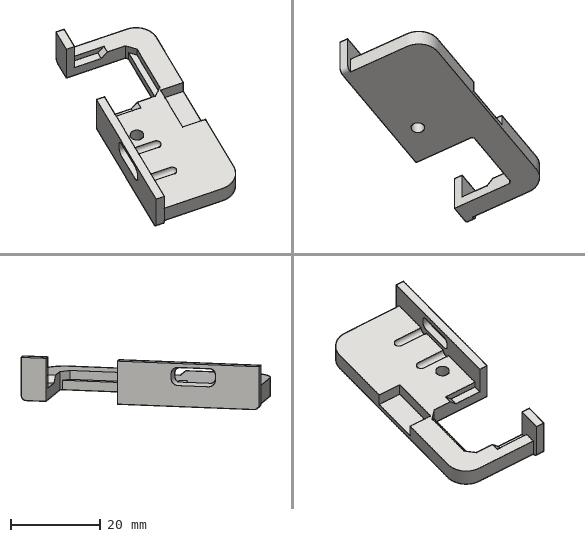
import cadquery as cq

length = 54.6
depth = 21.9
height = 9.85

wall_thickness = 2.0
wall_corner_radius = 1.2
plate_thickness = 4.2
plate_inset = 1.25
plate_corner_radius = 5.0

notch_left = 5.7
notch_width = 16.4
notch_back = 16.5
notch_chamfer = 1.95
ledge_width = 1.5
ledge_height = 2.2

pocket_width = 1.85
pocket_depth = 1.55
pocket_back = 10.1

recess_left = 20.95
recess_width = 12.0
recess_front = 16.25
recess_floor = 1.2

hole_diameter = 3.0
hole_x = 30.95
hole_y = 5.95
groove_radius = 1.05
groove_back = 9.85
groove_centers = (35.2, 43.85)

window_center_x = 39.5
window_center_z = 6.9
window_length = 10.15
window_height = 4.15
window_radius = 1.6
window_taper = 0.45


def box(x, y, z, x_size, y_size, z_size):
    return cq.Workplane("XY").box(x_size, y_size, z_size, centered=False).translate((x, y, z))


def make_body():
    wall = box(0, 0, 0, length, wall_thickness, height)
    wall = wall.edges("|Y and <Z").fillet(wall_corner_radius)
    plate = box(
        plate_inset, wall_thickness, 0,
        length - 2 * plate_inset, depth - wall_thickness, plate_thickness,
    )
    plate = plate.edges("|Z and >Y").fillet(plate_corner_radius)
    return wall.union(plate)


def make_notch():
    notch = box(notch_left, 0, 0, notch_width, notch_back, height)
    notch = notch.edges("|Z and >Y").chamfer(notch_chamfer)
    ledge = box(notch_left, notch_back - ledge_width, 0, notch_width, ledge_width, ledge_height)
    return notch.cut(ledge)


def make_side_pockets():
    floor = plate_thickness - pocket_depth
    return (
        cq.Workplane("YZ", origin=(notch_left - pocket_width, 0, 0))
        .moveTo(wall_thickness, floor)
        .lineTo(pocket_back - pocket_depth, floor)
        .lineTo(pocket_back, plate_thickness)
        .lineTo(wall_thickness, plate_thickness)
        .close()
        .extrude(notch_width + 2 * pocket_width)
    )


def make_groove(x):
    straight_end = groove_back - groove_radius
    groove = (
        cq.Workplane("XZ", origin=(x, straight_end, plate_thickness))
        .circle(groove_radius)
        .extrude(straight_end - wall_thickness)
    )
    dome = cq.Workplane("XY").sphere(groove_radius).translate((x, straight_end, plate_thickness))
    return groove.union(dome)


def window_outline(inset):
    return (
        cq.Sketch()
        .rect(window_length - 2 * inset, window_height - 2 * inset)
        .vertices()
        .fillet(window_radius - inset)
    )


def make_window():
    return (
        cq.Workplane("XZ", origin=(window_center_x, 0, window_center_z))
        .placeSketch(
            window_outline(0),
            window_outline(window_taper).moved(cq.Location(cq.Vector(0, 0, -wall_thickness))),
        )
        .loft()
    )


result = make_body().cut(make_notch()).cut(make_side_pockets())
result = result.cut(
    box(recess_left, recess_front, recess_floor, recess_width, depth - recess_front, plate_thickness)
)
result = result.cut(
    cq.Workplane("XY").center(hole_x, hole_y).circle(hole_diameter / 2).extrude(plate_thickness)
)
for groove_x in groove_centers:
    result = result.cut(make_groove(groove_x))
result = result.cut(make_window())